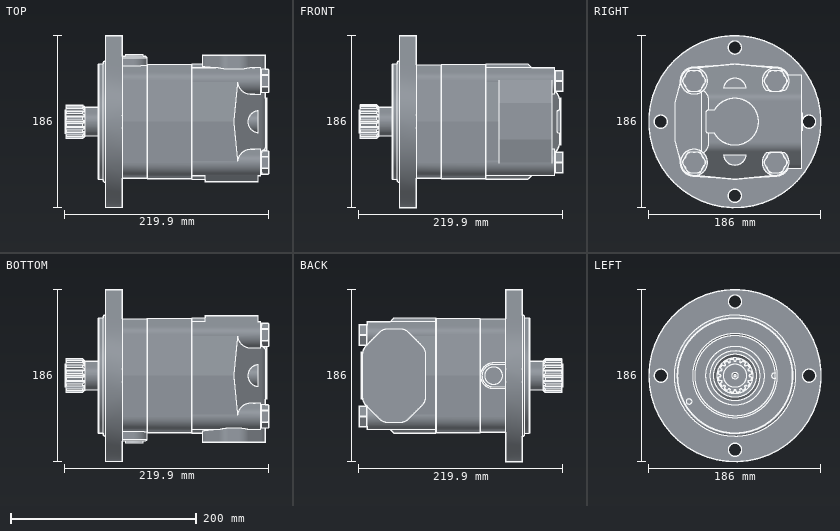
import cadquery as cq
import math


overall_length = 219.9
shaft_tip_x = -43.6
pilot_front_x = -8.2
flange_thickness = 18.2
ring_front_x = 45.1
cover_front_x = 93.2
cover_rear_x = 172.7
bolt_seat_x = 167.5
bolt_end_x = shaft_tip_x + overall_length
joint_chamfer = 0.4

bolt_offset = 44.0
bolt_centres = [(y, z) for y in (-bolt_offset, bolt_offset) for z in (-bolt_offset, bolt_offset)]
bolt_shank_diameter = 14.3
bolt_tip_x = 24.0
washer_face_diameter = 21.0
washer_face_height = 1.0
hex_across_flats = 22.4
hex_across_corners = hex_across_flats / math.cos(math.radians(30))
hex_edge_drop = 0.25
hex_rim_chamfer = 0.8

flange_diameter = 186.0
flange_hole_diameter = 14.0
flange_hole_circle = 160.0
pilot_collar_diameter = 131.0
pilot_collar_length = 2.5
pilot_collar_fillet = 2.0
pilot_diameter = 125.0
pilot_rim_chamfer_x = 1.3
pilot_rim_chamfer_r = 0.6
bore_mouth_radius = 45.6
bore_radius = 43.4
bore_taper_end_x = 8.5
bore_floor_x = 22.0
seal_recess_radius = 31.7
seal_recess_x = 26.0
seal_ridge_base_radius = 26.9
seal_ridge_radius = 23.2
seal_ridge_x = 23.0
seal_throat_radius = 19.4
seal_throat_x = 30.0
small_hole_diameter = 6.0
small_hole_depth = 6.0
pilot_hole_centre = (49.6, -27.9)
bore_hole_centre = (-42.6, 0.0)

shaft_radius = 15.65
shaft_nose_radius = 12.5
shaft_nose_length = 0.9
spline_radius = 18.4
spline_root_radius = 15.2
spline_full_end_x = -24.8
spline_rear_x = -22.0
spline_edge_chamfer = 0.5
spline_count = 16
spline_gap_overcut = 1.0
spline_gap_outer_width = 4.2
spline_gap_root_width = 0.8
centre_drill_diameter = 7.0
centre_pilot_diameter = 2.4
centre_pilot_depth = 8.0

housing_apex = 61.2
housing_corner_radius = 14.35
ring_apex = 61.8
ring_corner_radius = 15.0
cover_apex = 62.4
cover_corner_height = 58.1
bolt_boss_radius = 14.35

drain_x = 31.1
drain_boss_radius = ring_front_x - drain_x
drain_boss_top_y = 70.7
drain_boss_chamfer = 1.7
drain_plug_diameter = 19.0
drain_plug_top_y = 72.8

rear_fillet = 13.5
slope_start_x = cover_rear_x - 34.1
slope_run = cover_rear_x - slope_start_x
port_pad_half_height = 50.6
port_pad_half_flat = cover_apex - port_pad_half_height
port_pad_half_side = cover_apex - slope_run
port_pad_y = 72.0
side_pad_front_x = 107.5
side_pad_rear_x = 164.9
side_pad_y = 64.8
side_pad_half_flat = 19.7
side_pad_half_height = 44.7
side_pad_edge_y = 58.3
side_pad_inner_y = 36.0
knob_diameter = 24.12
knob_z = 35.0
knob_start_x = 145.0
rear_disc_diameter = 50.8
rear_disc_height = 1.4
rear_tongue_width = 24.8
rear_tongue_reach = 31.0
rear_tongue_fillet = 2.2


def rod(x_start, x_end, diameter, centres=((0, 0),)):
    """Cylinders along X between two stations, centred on (Y, Z) points."""
    return (cq.Workplane("YZ", origin=(x_start, 0, 0)).pushPoints(centres)
            .circle(diameter / 2).extrude(x_end - x_start))


def turned(profile):
    """Solid of revolution about the X axis from (x, radius) points."""
    return cq.Workplane("XY").polyline(profile).close().revolve(360, (0, 0), (1, 0))


def quarter_turned(point, quarters):
    """A (Y, Z) point turned clockwise about the motor axis by whole quarter turns."""
    y, z = point
    for _ in range(quarters):
        y, z = z, -y
    return y, z


def square_section(x_start, x_end, apex, corner_radius):
    """Square block with slightly peaked sides running tangent into corners around the bolt axes."""
    apex_distance = math.hypot(bolt_offset, apex - bolt_offset)
    side_slope = math.atan2(apex - bolt_offset, bolt_offset) - math.asin(corner_radius / apex_distance)
    near = bolt_offset + corner_radius * math.sin(side_slope)
    far = bolt_offset + corner_radius * math.cos(side_slope)
    middle = bolt_offset + corner_radius * math.sqrt(0.5)
    outline = cq.Workplane("YZ", origin=(x_start, 0, 0)).moveTo(0, apex)
    for quarter in range(4):
        arc_start = quarter_turned((near, far), quarter)
        arc_middle = quarter_turned((middle, middle), quarter)
        arc_end = quarter_turned((far, near), quarter)
        next_apex = quarter_turned((apex, 0), quarter)
        outline = outline.lineTo(*arc_start).threePointArc(arc_middle, arc_end).lineTo(*next_apex)
    return outline.close().extrude(x_end - x_start)


def cut_bolt_holes(body):
    return body.cut(rod(bolt_tip_x, bolt_end_x, bolt_shank_diameter, bolt_centres))


def flange_and_pilot():
    flange = rod(0, flange_thickness, flange_diameter)
    holes = (cq.Workplane("YZ").polarArray(flange_hole_circle / 2, 0, 360, 4)
             .circle(flange_hole_diameter / 2).extrude(flange_thickness))
    pilot_radius = pilot_diameter / 2
    pilot = turned([
        (0, 0),
        (pilot_front_x, 0),
        (pilot_front_x, pilot_radius - pilot_rim_chamfer_r),
        (pilot_front_x + pilot_rim_chamfer_x, pilot_radius),
        (0, pilot_radius),
    ])
    collar = rod(-pilot_collar_length, 0, pilot_collar_diameter)
    collar = collar.faces("<X").edges().fillet(pilot_collar_fillet)
    return flange.cut(holes).union(pilot).union(collar)


def front_bore():
    """Tapered bore, seal recess and the cone-sided ridge around the shaft."""
    bore = turned([
        (pilot_front_x, 0),
        (pilot_front_x, bore_mouth_radius),
        (bore_taper_end_x, bore_radius),
        (bore_floor_x, bore_radius),
        (bore_floor_x, seal_recess_radius),
        (seal_recess_x, seal_recess_radius),
        (seal_recess_x, seal_ridge_base_radius),
        (seal_ridge_x, seal_ridge_radius),
        (seal_throat_x, seal_throat_radius),
        (seal_throat_x, 0),
    ])
    for start_x, centre in ((pilot_front_x, pilot_hole_centre), (bore_floor_x, bore_hole_centre)):
        bore = bore.union(rod(start_x, start_x + small_hole_depth, small_hole_diameter, [centre]))
    return bore


def drain_boss():
    """Round-ended boss running back from the flange, with its plug on top."""
    boss_base_y = bolt_offset
    outline = (cq.Workplane("XZ", origin=(0, boss_base_y, 0))
               .moveTo(flange_thickness, drain_boss_radius)
               .lineTo(drain_x, drain_boss_radius)
               .threePointArc((ring_front_x, 0), (drain_x, -drain_boss_radius))
               .lineTo(flange_thickness, -drain_boss_radius).close())
    boss = outline.extrude(boss_base_y - drain_boss_top_y)
    boss = boss.faces(">Y").edges("not <X").chamfer(drain_boss_chamfer)
    plug = (cq.Workplane("XZ", origin=(drain_x, boss_base_y, 0))
            .circle(drain_plug_diameter / 2).extrude(boss_base_y - drain_plug_top_y))
    return boss.union(plug)


def output_shaft():
    spline_front_x = shaft_tip_x + shaft_nose_length
    shaft = turned([
        (shaft_tip_x, 0),
        (shaft_tip_x, shaft_nose_radius),
        (spline_front_x, shaft_nose_radius),
        (spline_front_x, spline_radius - spline_edge_chamfer),
        (spline_front_x + spline_edge_chamfer, spline_radius),
        (spline_full_end_x, spline_radius),
        (spline_rear_x, shaft_radius),
        (seal_throat_x, shaft_radius),
        (seal_throat_x, 0),
    ])
    gap_tool_radius = spline_radius + spline_gap_overcut
    half_root = spline_gap_root_width / 2
    half_outer = spline_gap_outer_width / 2
    gap = (cq.Workplane("YZ", origin=(spline_front_x, 0, 0))
           .polyline([(spline_root_radius, -half_root), (spline_radius, -half_outer),
                      (gap_tool_radius, -half_outer), (gap_tool_radius, half_outer),
                      (spline_radius, half_outer), (spline_root_radius, half_root)])
           .close().extrude(spline_rear_x - spline_front_x))
    for index in range(spline_count):
        shaft = shaft.cut(gap.rotate((0, 0, 0), (1, 0, 0), index * 360 / spline_count))
    drill_radius = centre_drill_diameter / 2
    pilot_radius = centre_pilot_diameter / 2
    centre_drill = turned([
        (shaft_tip_x, 0),
        (shaft_tip_x, drill_radius),
        (shaft_tip_x + drill_radius - pilot_radius, pilot_radius),
        (shaft_tip_x + centre_pilot_depth, pilot_radius),
        (shaft_tip_x + centre_pilot_depth, 0),
    ])
    return shaft.cut(centre_drill)


def make_housing():
    body = square_section(0, ring_front_x, housing_apex, housing_corner_radius)
    body = body.union(flange_and_pilot()).union(drain_boss())
    body = cut_bolt_holes(body.cut(front_bore()))
    return body.union(output_shaft())


def make_gear_ring():
    ring = square_section(ring_front_x, cover_front_x, ring_apex, ring_corner_radius)
    return cut_bolt_holes(ring.faces("<X or >X").chamfer(joint_chamfer))


def cover_core():
    """Eight-sided block with 45 degree rear faces on the +Z, -Z and -Y sides."""
    corners = [(0, cover_apex), (bolt_offset, cover_corner_height), (cover_corner_height, bolt_offset)]
    outline = [quarter_turned(corner, quarter) for quarter in range(4) for corner in corners]
    core = (cq.Workplane("YZ", origin=(cover_front_x, 0, 0)).polyline(outline).close()
            .extrude(cover_rear_x - cover_front_x))
    z_envelope = (cq.Workplane("XZ")
                  .polyline([(cover_front_x, cover_apex), (slope_start_x, cover_apex),
                             (cover_rear_x, port_pad_half_side), (cover_rear_x, -port_pad_half_side),
                             (slope_start_x, -cover_apex), (cover_front_x, -cover_apex)])
                  .close().extrude(cover_apex, both=True)
                  .faces(">X").edges("|Y").fillet(rear_fillet))
    side_slope = (cq.Workplane("XY")
                  .polyline([(slope_start_x, -cover_apex), (cover_rear_x, -port_pad_half_side),
                             (cover_rear_x, -cover_apex)])
                  .close().extrude(cover_apex, both=True))
    return core.intersect(z_envelope).cut(side_slope)


def port_pad():
    """Eight-sided pad with rounded corners on the +Y side."""
    corners = [(port_pad_half_flat, port_pad_half_height), (slope_run, port_pad_half_side)]
    upper = corners + [(x, -z) for x, z in reversed(corners)]
    outline = upper + [(-x, -z) for x, z in upper]
    return (cq.Workplane("XZ", origin=(slope_start_x, 0, 0)).polyline(outline).close()
            .extrude(-port_pad_y).edges("|Y").fillet(rear_fillet))


def side_pad():
    """Pad on the -Y side with a flat middle and two slightly inclined flanks."""
    return (cq.Workplane("YZ", origin=(side_pad_front_x, 0, 0))
            .polyline([(-side_pad_inner_y, side_pad_half_height), (-side_pad_edge_y, side_pad_half_height),
                       (-side_pad_y, side_pad_half_flat), (-side_pad_y, -side_pad_half_flat),
                       (-side_pad_edge_y, -side_pad_half_height), (-side_pad_inner_y, -side_pad_half_height)])
            .close().extrude(side_pad_rear_x - side_pad_front_x))


def rear_disc():
    """Raised disc on the rear face with a tongue towards -Y."""
    end_x = cover_rear_x + rear_disc_height
    disc = rod(cover_rear_x, end_x, rear_disc_diameter)
    tongue_depth = cover_rear_x - bolt_seat_x
    tongue = (cq.Workplane("YZ", origin=(bolt_seat_x, 0, 0))
              .center(-rear_tongue_reach / 2, 0).rect(rear_tongue_reach, rear_tongue_width)
              .extrude(tongue_depth + rear_disc_height)
              .edges("|X and <Y").fillet(rear_tongue_fillet))
    return disc.union(tongue)


def make_end_cover():
    bolt_bosses = rod(cover_front_x, bolt_seat_x, 2 * bolt_boss_radius, bolt_centres)
    knobs = rod(knob_start_x, side_pad_rear_x, knob_diameter, [(0, knob_z), (0, -knob_z)])
    cover = cover_core().union(bolt_bosses).faces("<X").chamfer(joint_chamfer)
    for feature in (port_pad(), side_pad(), knobs, rear_disc()):
        cover = cover.union(feature)
    return cut_bolt_holes(cover)


def make_bolt(y, z):
    """Hexagon head bolt with corners pointing along Y."""
    head_x = bolt_seat_x + washer_face_height
    shank = rod(bolt_tip_x, bolt_seat_x, bolt_shank_diameter)
    washer_face = rod(bolt_seat_x, head_x, washer_face_diameter)
    head = (cq.Workplane("YZ", origin=(head_x, 0, 0))
            .polygon(6, hex_across_corners).extrude(bolt_end_x - head_x))
    rim = (rod(head_x, bolt_end_x, hex_across_corners - 2 * hex_edge_drop)
           .faces(">X").chamfer(hex_rim_chamfer))
    return shank.union(washer_face).union(head.intersect(rim)).translate((0, y, z))


housing = make_housing()
gear_ring = make_gear_ring()
end_cover = make_end_cover()
bolts = [make_bolt(y, z) for y, z in bolt_centres]

result = cq.Compound.makeCompound(
    [body.solids().val() for body in (housing, gear_ring, end_cover, *bolts)]
)